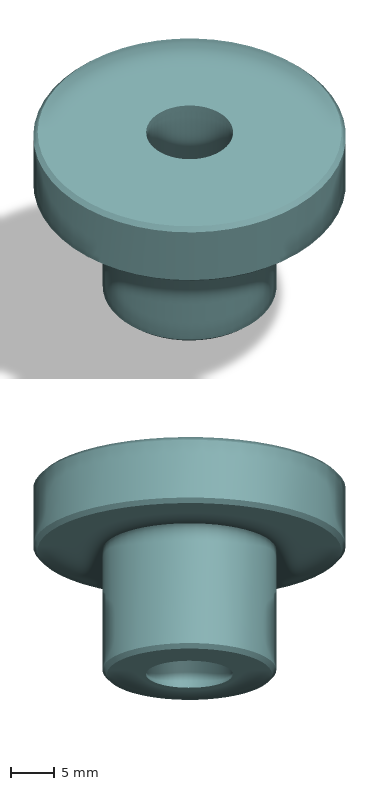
import cadquery as cq

flange_diameter = 36.0
flange_thickness = 8.0
shank_diameter = 20.0
bore_diameter = 10.0
total_height = 23.0
edge_chamfer = 0.5

shank_length = total_height - flange_thickness


def chamfered_flange():
    """Head disc, resting on the shank, with both rims chamfered."""
    disc = cq.Workplane("XY").workplane(offset=shank_length)
    disc = disc.circle(flange_diameter / 2).extrude(flange_thickness)
    return disc.edges().chamfer(edge_chamfer)


def chamfered_shank():
    """Cylinder below the flange, chamfered at its free end."""
    cylinder = cq.Workplane("XY").circle(shank_diameter / 2).extrude(shank_length)
    return cylinder.faces("<Z").edges().chamfer(edge_chamfer)


def through_bore():
    """Cutter for the plain hole along the whole axis."""
    return cq.Workplane("XY").circle(bore_diameter / 2).extrude(total_height)


result = chamfered_flange().union(chamfered_shank()).cut(through_bore())